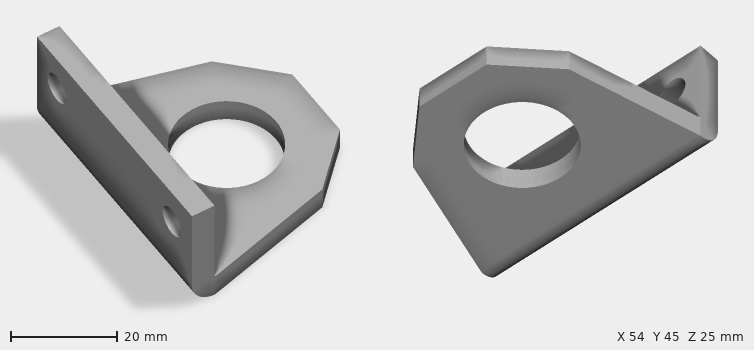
import cadquery as cq

width = 54.0
depth = 45.0
height = 25.0
thickness = 5.0
inner_bend_radius = 0.5
outer_bend_radius = inner_bend_radius + thickness

nose_width = 16.6
nose_clip = 10.95
shoulder_width = nose_width + 2 * nose_clip
taper_start = thickness
bore_diameter = 22.0
bore_from_front = 25.0

mount_hole_diameter = 6.5
mount_hole_spacing = 40.0
mount_hole_below_top = 8.0


def bent_profile():
    """L-shaped plate across the full width, front face at Y = 0."""
    plate = (
        cq.Workplane("YZ")
        .polyline([
            (0, 0),
            (depth, 0),
            (depth, thickness),
            (thickness, thickness),
            (thickness, height),
            (0, height),
        ])
        .close()
        .extrude(width / 2, both=True)
    )
    inner_corner = cq.selectors.NearestToPointSelector((0, thickness, thickness))
    plate = plate.edges("|X").edges(inner_corner).fillet(inner_bend_radius)
    return plate.edges("|X and <Y and <Z").fillet(outer_bend_radius)


def plan_outline():
    """Full-height prism bounding the bracket in plan."""
    half_outline = [
        (width / 2, 0),
        (width / 2, taper_start),
        (shoulder_width / 2, depth - nose_clip),
        (nose_width / 2, depth),
    ]
    mirrored = [(-x, y) for x, y in reversed(half_outline)]
    return cq.Workplane("XY").polyline(half_outline + mirrored).close().extrude(height)


bore = (
    cq.Workplane("XY")
    .center(0, bore_from_front)
    .circle(bore_diameter / 2)
    .extrude(thickness)
)

mount_holes = (
    cq.Workplane("XZ")
    .pushPoints([
        (side * mount_hole_spacing / 2, height - mount_hole_below_top)
        for side in (-1, 1)
    ])
    .circle(mount_hole_diameter / 2)
    .extrude(-thickness)
)

result = bent_profile().intersect(plan_outline()).cut(bore).cut(mount_holes)